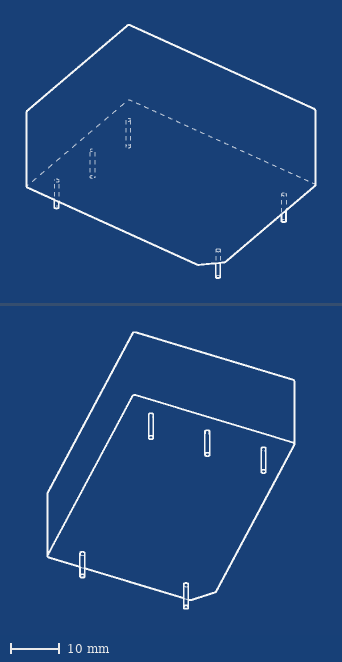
import cadquery as cq

case_length = 48.0
case_width = 35.96
case_height = 20.0
corner_cut = 4.0
edge_radius = 0.5

pin_diameter = 1.0
pin_length = 7.0
left_pin_x = -20.1
pin_row_spacing = 40.5
right_pin_x = left_pin_x + pin_row_spacing
left_pin_offset = 12.5
right_pin_offset = left_pin_offset - pin_diameter

left_row = [(left_pin_x, y) for y in (-left_pin_offset, 0, left_pin_offset)]
right_row = [(right_pin_x, y) for y in (-right_pin_offset, right_pin_offset)]


def make_case():
    """Box standing on Z = 0, with one cut corner and rounded side and top edges."""
    half_length = case_length / 2
    half_width = case_width / 2
    outline = [
        (-half_length, -half_width),
        (half_length - corner_cut, -half_width),
        (half_length, -half_width + corner_cut),
        (half_length, half_width),
        (-half_length, half_width),
    ]
    block = cq.Workplane("XY").polyline(outline).close().extrude(case_height)
    rounded_sides = block.edges("|Z").fillet(edge_radius)
    return rounded_sides.faces(">Z").edges().fillet(edge_radius)


def make_pins():
    """Round pins hanging below the case: three in the left row, two in the right."""
    pins = cq.Workplane("XY").pushPoints(left_row + right_row)
    return pins.circle(pin_diameter / 2).extrude(-pin_length)


result = make_case().union(make_pins())